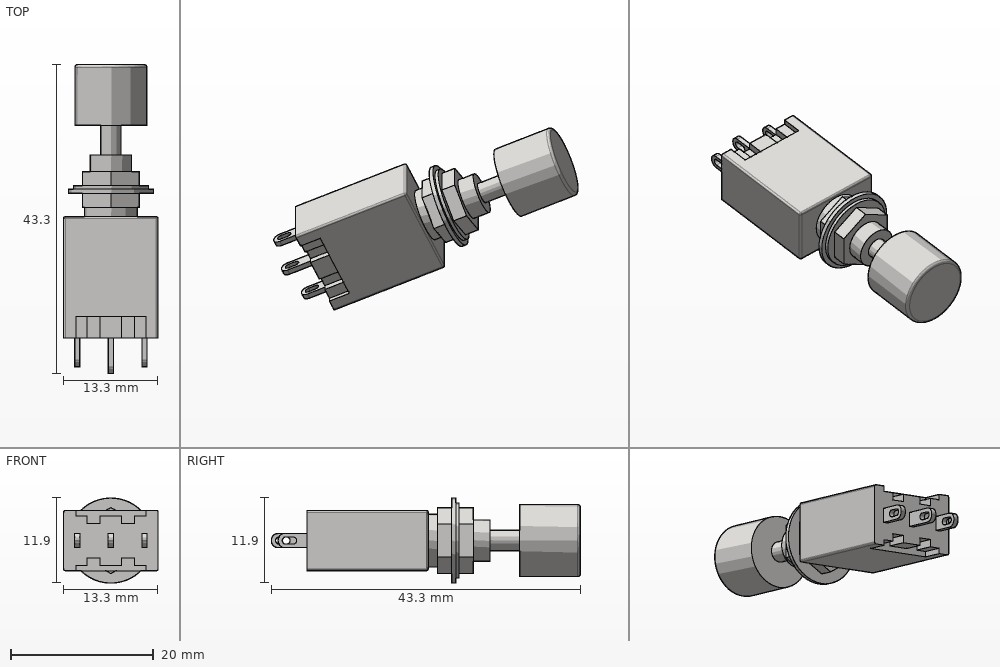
import cadquery as cq


housing_width = 13.26
housing_length = 17.0
housing_height = 8.46
housing_edge_radius = 0.28

recess_length = 3.05
recess_width = 9.82
recess_depth = 0.77
slot_width = 1.84
slot_depth = 1.82
slot_offset = 2.42

terminal_pitch = 4.7
terminal_thickness = 0.75
terminal_height = 2.0
terminal_tip_radius = 0.96
center_terminal_length = 4.98
side_terminal_length = 4.04
eyelet_length = 2.0
eyelet_height = 0.96
eyelet_tip_gap = 0.62

collar_diameter = 7.42
lock_washer_diameter = 11.94
flat_washer_diameter = 10.54
bushing_diameter = 5.82
plunger_diameter = 2.9
button_diameter = 10.11
button_edge_radius = 0.4

nut_across_flats = 8.0
nut_thickness = 1.97

collar_length = 1.28
lock_washer_thickness = 0.6
flat_washer_thickness = 0.48
bushing_exposed_length = 2.34
plunger_exposed_length = 4.13
button_length = 8.53

rear_nut_start = housing_length + collar_length
lock_washer_start = rear_nut_start + nut_thickness
flat_washer_start = lock_washer_start + lock_washer_thickness
front_nut_start = flat_washer_start + flat_washer_thickness
bushing_start = front_nut_start + nut_thickness
plunger_start = bushing_start + bushing_exposed_length
button_start = plunger_start + plunger_exposed_length


def plane_at(y):
    """Workplane across the axis at station y, extruding toward +Y, with local X along +X."""
    return cq.Workplane(cq.Plane(origin=(0, y, 0), xDir=(1, 0, 0), normal=(0, 1, 0)))


def disc(diameter, y_start, length):
    return plane_at(y_start).circle(diameter / 2).extrude(length)


def hex_nut(y_start):
    """Hexagonal nut with two flats facing +X and -X."""
    hexagon = plane_at(y_start).polygon(6, nut_across_flats, circumscribed=True)
    return hexagon.extrude(nut_thickness)


def make_recess(side):
    """Cutter for the recess in the top (side = 1) or bottom (side = -1) face."""
    face_z = side * housing_height / 2

    def pocket(x, width, depth):
        box = cq.Workplane("XY").box(width, recess_length, 2 * depth)
        return box.translate((x, recess_length / 2, face_z))

    recess = pocket(0, recess_width, recess_depth)
    for x in (-slot_offset, slot_offset):
        recess = recess.union(pocket(x, slot_width, slot_depth))
    return recess


def make_housing():
    housing = cq.Workplane("XY").box(housing_width, housing_length, housing_height)
    housing = housing.translate((0, housing_length / 2, 0))
    housing = housing.edges("|Y or >Y").fillet(housing_edge_radius)
    for side in (-1, 1):
        housing = housing.cut(make_recess(side))
    return housing


def make_terminal(x, length):
    """Flat tab with a rounded tip and an obround eyelet."""
    tab = cq.Workplane("XY").box(terminal_thickness, length, terminal_height)
    tab = tab.translate((x, -length / 2, 0))
    tab = tab.edges("|X and <Y").fillet(terminal_tip_radius)
    eyelet_y = eyelet_tip_gap + eyelet_length / 2 - length
    eyelet = (
        cq.Workplane("YZ", origin=(x, eyelet_y, 0))
        .slot2D(eyelet_length, eyelet_height)
        .extrude(terminal_thickness, both=True)
    )
    return tab.cut(eyelet)


def make_terminals():
    terminals = make_terminal(0, center_terminal_length)
    for x in (-terminal_pitch, terminal_pitch):
        terminals = terminals.union(make_terminal(x, side_terminal_length))
    return terminals


def make_mounting_hardware():
    """Collar, nuts and washers stacked in front of the housing, ending in the bushing."""
    return (
        disc(collar_diameter, housing_length, collar_length)
        .union(hex_nut(rear_nut_start))
        .union(disc(lock_washer_diameter, lock_washer_start, lock_washer_thickness))
        .union(disc(flat_washer_diameter, flat_washer_start, flat_washer_thickness))
        .union(hex_nut(front_nut_start))
        .union(disc(bushing_diameter, bushing_start, bushing_exposed_length))
    )


def make_button():
    button = disc(button_diameter, button_start, button_length)
    button = button.faces(">Y").edges().fillet(button_edge_radius)
    return button.union(disc(plunger_diameter, plunger_start, plunger_exposed_length))


result = make_housing().union(make_terminals()).union(make_mounting_hardware()).union(make_button())